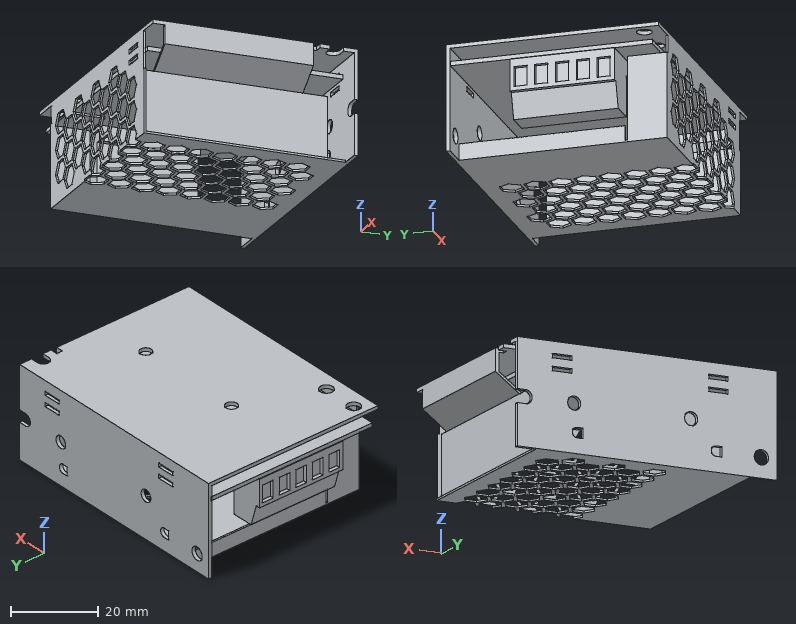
import cadquery as cq

length = 66.6
width = 51.0
height = 26.0
plate = 1.0
sheet = 0.5
plate_underside = height - plate
back_wall_inside = width - plate

cover_left = 6.6
cover_right = 61.5
front_wall_inset = 0.45
left_step_z = 20.2
right_step_z = 15.8
left_flange_depth = 9.6
lip_height = 4.0
lip_start = 10.1

board_left = 0.2
board_right = 59.95
board_front = 1.5
board_bottom = 20.8
board_thickness = 1.05
tab_end = 16.0

hex_radius = 2.9
hex_column_pitch = 5.2
hex_row_pitch = 6.0
first_hex_x = 12.45
even_column_top = 19.3
odd_column_top = even_column_top - hex_row_pitch / 2
wall_columns = 9
even_column_rows = (0, 1, 2, 3)
odd_column_rows = (0, 1, 2)
wall_hexes_left_out = ((0, 3), (2, 3), (8, 0))
first_floor_column = 3
floor_rows = 8
even_floor_start = -0.7

slot_length = 4.9
slot_height = 1.05
slot_x = 52.6
slot_bottoms = (19.5, 22.25)

mount_hole_radius = 1.8
mount_hole_z = 5.0
mount_hole_x = 4.0
screw_radius = 1.6
screw_positions = (21.8, 51.95)
screw_y = 25.5
board_screw_radius = 1.8
board_screw_positions = (3.4, 13.0)
board_screw_y = 4.45
notch_depth = 3.8
notch_width = 3.3
back_notch_z = 11.9
top_notch_y = 45.7
vent_positions = (22.05, 52.0)
vent_radius = 1.65
back_slot_positions = (12.6, slot_x)
back_slot_bottoms = (18.9, 22.0)
key_positions = (14.1, 49.75)
key_bottom = 3.8
key_height = 2.45
key_length = 2.7

flap_front = 3.0
flap_back = 39.9
flap_knee_z = 20.4
end_wall_inside = 59.4
end_wall_top = right_step_z
end_wall_back = 46.0
relief_width = 1.6
relief_depth = 2.05

terminal_front = 10.6
terminal_back = 35.7
terminal_bottom = 7.0
terminal_face_bottom = 13.0
terminal_body_end = 9.0
terminal_rear_end = 10.3
terminal_rear_bottom = 17.0
terminal_chin = (1.1, 2.9)
pocket_count = 5
pocket_pitch = 5.0
pocket_width = 3.1
pocket_height = 4.8
pocket_bottom = 14.0
pocket_depth = 1.0

standoff_radius = 2.4
standoff_x = 45.3
standoff_y = 24.2


def block(x0, x1, y0, y1, z0, z1):
    """Axis-aligned box between opposite corners."""
    return cq.Workplane("XY").box(x1 - x0, y1 - y0, z1 - z0, centered=False).translate((x0, y0, z0))


def upright_cylinder(x, y, radius, bottom, top):
    return cq.Workplane("XY", origin=(x, y, bottom)).circle(radius).extrude(top - bottom)


def back_wall_cylinder(x, z, radius):
    return cq.Workplane("XZ", origin=(x, width, z)).circle(radius).extrude(plate)


def make_chassis():
    """Top plate and back wall, with an end wall at +X joined to the top by a cranked flap."""
    chassis = block(0, length, 0, width, plate_underside, height)
    chassis = chassis.union(block(0, length, back_wall_inside, width, 0, height))
    flap_inner = length - plate
    end_wall_outside = end_wall_inside + plate
    flap = (
        cq.Workplane("XZ", origin=(0, flap_back, 0))
        .moveTo(length, plate_underside)
        .lineTo(length, flap_knee_z)
        .lineTo(end_wall_outside, end_wall_top)
        .lineTo(end_wall_inside, end_wall_top)
        .lineTo(flap_inner, flap_knee_z)
        .lineTo(flap_inner, plate_underside)
        .close()
        .extrude(flap_back - flap_front)
    )
    end_wall = block(end_wall_inside, end_wall_outside, sheet, end_wall_back, 0, end_wall_top)
    return chassis.union(flap).union(end_wall)


def cut_top_plate(chassis):
    for x in screw_positions:
        chassis = chassis.cut(upright_cylinder(x, screw_y, screw_radius, plate_underside, height))
    for x in board_screw_positions:
        chassis = chassis.cut(upright_cylinder(x, board_screw_y, board_screw_radius, plate_underside, height))
    half = notch_width / 2
    notch_x = length - notch_depth + half
    chassis = chassis.cut(upright_cylinder(notch_x, top_notch_y, half, plate_underside, height))
    notch = block(notch_x, length, top_notch_y - half, top_notch_y + half, plate_underside, height)
    relief = block(length - relief_depth, length, flap_back, flap_back + relief_width, plate_underside, height)
    return chassis.cut(notch).cut(relief)


def cut_back_wall(chassis):
    chassis = chassis.cut(back_wall_cylinder(mount_hole_x, mount_hole_z, mount_hole_radius))
    for x in vent_positions:
        chassis = chassis.cut(back_wall_cylinder(x, back_notch_z, vent_radius))
    half = notch_width / 2
    notch_x = length - notch_depth + half
    chassis = chassis.cut(back_wall_cylinder(notch_x, back_notch_z, half))
    notch = block(notch_x, length, back_wall_inside, width, back_notch_z - half, back_notch_z + half)
    chassis = chassis.cut(notch)
    for x in back_slot_positions:
        for z in back_slot_bottoms:
            chassis = chassis.cut(block(x, x + slot_length, back_wall_inside, width, z, z + slot_height))
    key_radius = key_height / 2
    for x in key_positions:
        round_x = x + key_length - key_radius
        chassis = chassis.cut(block(x, round_x, back_wall_inside, width, key_bottom, key_bottom + key_height))
        chassis = chassis.cut(back_wall_cylinder(round_x, key_bottom + key_radius, key_radius))
    return chassis


def make_cover():
    """Floor, front wall, left flange, board tab and lip folded from thin sheet."""
    floor = block(cover_left, cover_right, 0, back_wall_inside, 0, sheet)
    front = block(cover_left, cover_right, 0, sheet, 0, right_step_z)
    front_left = cover_left + front_wall_inset
    front_right = cover_right - sheet
    front = front.union(block(cover_left, front_right, 0, sheet, right_step_z, left_step_z))
    front = front.union(block(front_left, front_right, 0, sheet, left_step_z, plate_underside))
    flange_left = block(cover_left, cover_left + sheet, 0, left_flange_depth, 0, board_bottom)
    tab = block(cover_left, tab_end, sheet, left_flange_depth, board_bottom - sheet, board_bottom)
    lip = block(cover_left, cover_left + sheet, lip_start, back_wall_inside, 0, lip_height)
    cover = floor
    for panel in (front, flange_left, tab, lip):
        cover = cover.union(panel)
    return cover


def cut_wall_vents(cover):
    centres = []
    for column in range(wall_columns):
        even = column % 2 == 0
        top = even_column_top if even else odd_column_top
        for row in even_column_rows if even else odd_column_rows:
            if (column, row) not in wall_hexes_left_out:
                centres.append((first_hex_x + column * hex_column_pitch, top - row * hex_row_pitch))
    vents = (
        cq.Workplane("XZ", origin=(0, sheet, 0))
        .pushPoints(centres)
        .polygon(6, 2 * hex_radius)
        .extrude(sheet)
    )
    vents = vents.cut(block(0, length, 0, sheet, 0, sheet))
    cover = cover.cut(vents)
    for z in slot_bottoms:
        cover = cover.cut(block(slot_x, slot_x + slot_length, 0, sheet, z, z + slot_height))
    return cover


def cut_floor_vents(cover):
    centres = []
    for column in range(first_floor_column, wall_columns):
        start = even_floor_start + (column % 2) * hex_row_pitch / 2
        for row in range(floor_rows):
            centres.append((first_hex_x + column * hex_column_pitch, start + row * hex_row_pitch))
    vents = cq.Workplane("XY").pushPoints(centres).polygon(6, 2 * hex_radius).extrude(sheet)
    return cover.cut(vents)


def make_terminal():
    """Block hung under the board, with a sloping chin and a row of wire pockets."""
    terminal = (
        cq.Workplane("XZ", origin=(0, terminal_back, 0))
        .moveTo(0, board_bottom)
        .lineTo(0, terminal_face_bottom)
        .lineTo(terminal_chin[0], terminal_face_bottom)
        .lineTo(terminal_chin[1], terminal_bottom)
        .lineTo(terminal_body_end, terminal_bottom)
        .lineTo(terminal_body_end, terminal_rear_bottom)
        .lineTo(terminal_rear_end, terminal_rear_bottom)
        .lineTo(terminal_rear_end, board_bottom)
        .close()
        .extrude(terminal_back - terminal_front)
    )
    middle = (terminal_front + terminal_back) / 2
    for index in range(pocket_count):
        start = middle + (index - (pocket_count - 1) / 2) * pocket_pitch - pocket_width / 2
        terminal = terminal.cut(
            block(0, pocket_depth, start, start + pocket_width, pocket_bottom, pocket_bottom + pocket_height)
        )
    return terminal


board_top = board_bottom + board_thickness
board = block(board_left, board_right, board_front, back_wall_inside, board_bottom, board_top)
standoff = upright_cylinder(standoff_x, standoff_y, standoff_radius, board_top, plate_underside)
chassis = cut_back_wall(cut_top_plate(make_chassis()))
cover = cut_floor_vents(cut_wall_vents(make_cover()))

result = chassis.union(cover).union(board).union(standoff).union(make_terminal())